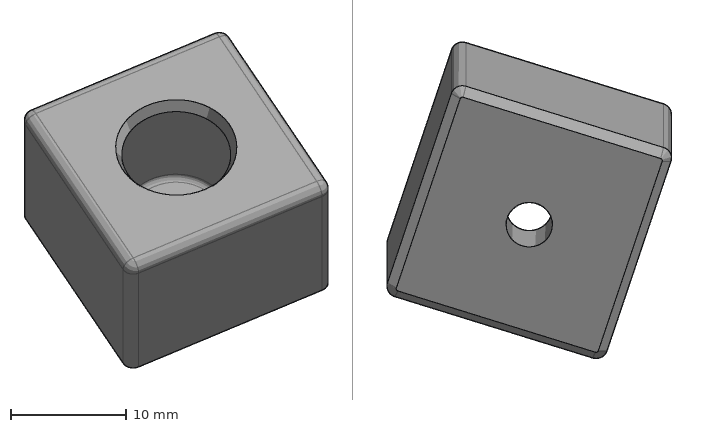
import cadquery as cq

side = 20.0
height = 15.0
edge_radius = 1.0
base_chamfer = 0.8

hole_diameter = 4.0
mouth_diameter = 10.5
mouth_depth = 1.0
bore_top_diameter = 9.45
bore_floor_diameter = 8.98
bore_depth = 10.0
bore_floor_fillet = 0.5


def rounded_block():
    """Block with rounded sides and top, and a chamfered base."""
    block = cq.Workplane("XY").box(side, side, height, centered=(True, True, False))
    block = block.edges("|Z or >Z").fillet(edge_radius)
    return block.faces("<Z").chamfer(base_chamfer)


def bore_cutter():
    """Blind bore with a conical mouth, a slight taper and a rounded floor corner."""
    floor_z = height - bore_depth
    cutter = (
        cq.Workplane("XZ")
        .moveTo(0, floor_z)
        .lineTo(bore_floor_diameter / 2, floor_z)
        .lineTo(bore_top_diameter / 2, height - mouth_depth)
        .lineTo(mouth_diameter / 2, height)
        .lineTo(0, height)
        .close()
        .revolve(360, (0, 0, 0), (0, 1, 0))
    )
    return cutter.faces("<Z").edges().fillet(bore_floor_fillet)


through_hole = cq.Workplane("XY").circle(hole_diameter / 2).extrude(height)

result = rounded_block().cut(bore_cutter()).cut(through_hole)